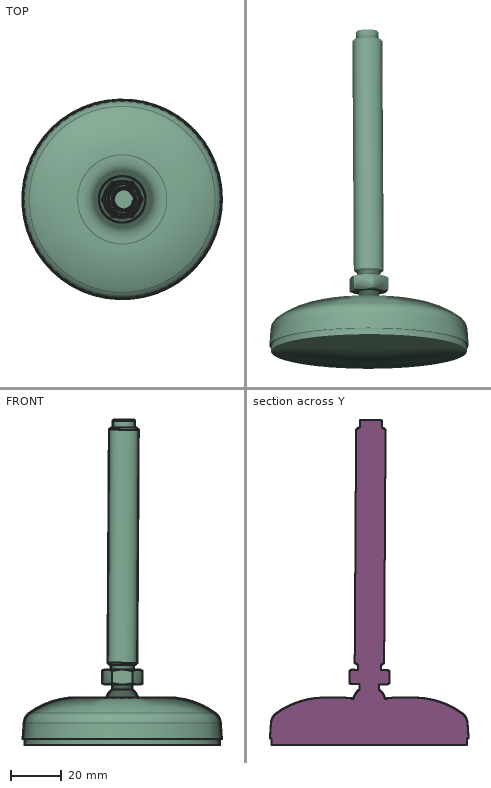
import cadquery as cq
import math

overall_height = 129.9

pad_diameter = 78.2
pad_height = 2.5
rim_diameter = 79.6
rim_top_diameter = 78.7
rim_top_height = 8.8
shoulder_diameter = 74.3
shoulder_height = 12.7
crown_diameter = 35.6
base_height = 19.1

insert_diameter = 18.6
insert_recess = 0.1
socket_mouth_diameter = 14.8
socket_floor_diameter = 13.8
socket_depth = 0.4

tilt_angle = 0.35
ball_diameter = 13.3
ball_neck_height = 22.2
lower_neck_diameter = 8.0
upper_neck_diameter = 9.4
rod_diameter = 12.0
rod_end_diameter = 9.7
rod_chamfer_height = 0.9
rod_bottom_height = 32.0
tip_diameter = 9.0
tip_end_diameter = 8.0
tip_length = 3.1

nut_bottom_height = 24.2
nut_height = 6.0
nut_across_flats = 14.0
nut_face_diameter = 14.0
nut_chamfer_height = 0.5

ball_radius = ball_diameter / 2
ball_center_height = ball_neck_height - math.sqrt(ball_radius**2 - (lower_neck_diameter / 2) ** 2)
tip_chamfer = (tip_diameter - tip_end_diameter) / 2
nut_across_corners = nut_across_flats / math.cos(math.radians(30))

tilt = math.radians(tilt_angle)
tip_edge_rise = tip_end_diameter / 2 * math.sin(tilt)
stem_top_height = ball_center_height + (
    overall_height - ball_center_height - tip_edge_rise
) / math.cos(tilt)
rod_top_height = stem_top_height - tip_length


def revolve_about_z(profile):
    """Turn a closed profile, drawn with radius across and height up, about Z."""
    return profile.close().revolve(360, (0, 0, 0), (0, 1, 0))


def cone_frustum(bottom_diameter, top_diameter, bottom_height, top_height):
    """Round body about Z between two heights."""
    return revolve_about_z(
        cq.Workplane("XZ")
        .moveTo(0, bottom_height)
        .lineTo(bottom_diameter / 2, bottom_height)
        .lineTo(top_diameter / 2, top_height)
        .lineTo(0, top_height)
    )


def make_base():
    """Pad and domed cap; the dome arcs run smoothly from the flat crown to the rim."""
    dome = revolve_about_z(
        cq.Workplane("XZ")
        .moveTo(0, base_height)
        .lineTo(crown_diameter / 2, base_height)
        .tangentArcPoint((shoulder_diameter / 2, shoulder_height), relative=False)
        .tangentArcPoint((rim_top_diameter / 2, rim_top_height), relative=False)
        .lineTo(rim_diameter / 2, pad_height)
        .lineTo(pad_diameter / 2, pad_height)
        .lineTo(pad_diameter / 2, 0)
        .lineTo(0, 0)
    )
    insert_height = base_height - insert_recess
    insert_pocket = cone_frustum(insert_diameter, insert_diameter, insert_height, base_height)
    socket = cone_frustum(
        socket_floor_diameter, socket_mouth_diameter, insert_height - socket_depth, insert_height
    )
    return dome.cut(insert_pocket).cut(socket)


def make_turned_stem():
    """Ball, necks, rod and tip as one turned, upright body."""
    rod_radius = rod_diameter / 2
    return revolve_about_z(
        cq.Workplane("XZ")
        .moveTo(0, ball_center_height - ball_radius)
        .threePointArc(
            (ball_radius, ball_center_height),
            (lower_neck_diameter / 2, ball_neck_height),
        )
        .lineTo(lower_neck_diameter / 2, nut_bottom_height)
        .lineTo(upper_neck_diameter / 2, nut_bottom_height)
        .lineTo(upper_neck_diameter / 2, rod_bottom_height)
        .lineTo(rod_end_diameter / 2, rod_bottom_height)
        .lineTo(rod_radius, rod_bottom_height + rod_chamfer_height)
        .lineTo(rod_radius, rod_top_height - rod_chamfer_height)
        .lineTo(rod_end_diameter / 2, rod_top_height)
        .lineTo(tip_diameter / 2, rod_top_height)
        .lineTo(tip_diameter / 2, stem_top_height - tip_chamfer)
        .lineTo(tip_end_diameter / 2, stem_top_height)
        .lineTo(0, stem_top_height)
    )


def make_nut():
    """Hexagon with its corners cut back by a chamfered round envelope."""
    hexagon = (
        cq.Workplane("XY", origin=(0, 0, nut_bottom_height))
        .polygon(6, nut_across_corners)
        .extrude(nut_height)
    )
    nut_top_height = nut_bottom_height + nut_height
    face_radius = nut_face_diameter / 2
    corner_radius = nut_across_corners / 2
    envelope = revolve_about_z(
        cq.Workplane("XZ")
        .moveTo(0, nut_bottom_height)
        .lineTo(face_radius, nut_bottom_height)
        .lineTo(corner_radius, nut_bottom_height + nut_chamfer_height)
        .lineTo(corner_radius, nut_top_height - nut_chamfer_height)
        .lineTo(face_radius, nut_top_height)
        .lineTo(0, nut_top_height)
    )
    return hexagon.intersect(envelope)


ball_center = (0, 0, ball_center_height)
tilt_axis_end = (0, 1, ball_center_height)
stem = make_turned_stem().union(make_nut()).rotate(ball_center, tilt_axis_end, tilt_angle)

result = make_base().union(stem)